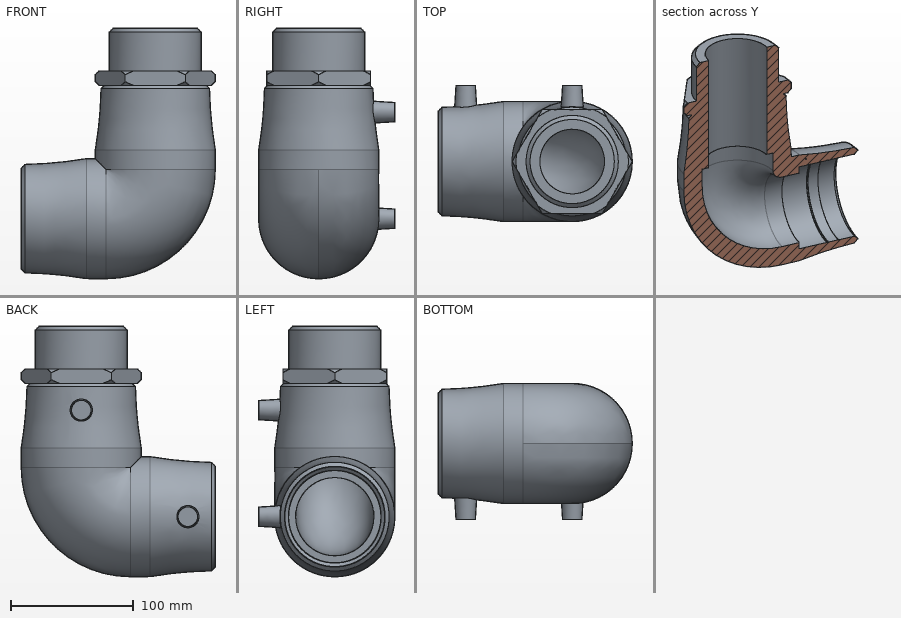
import cadquery as cq

body_radius = 49.0
bend_radius = 40.2
taper_start = 55.9
leg_end = 109.1
end_chamfer = 3.3
neck_radius = 44.3
taper_mid_radius = 45.7
rim_radius = 41.0

top_height = 155.0
stub_radius = 37.5
stub_chamfer = 3.3
hex_bottom = 108.3
hex_top = 120.4
hex_across_flats = 84.7
hex_corner_radius = 49.0
hex_chamfer = 3.3
adapter_bore_radius = 26.3

flow_radius = 31.8
mouth_radius = 40.5
mouth_chamfer = 3.0
entry_diameter = 75.3
entry_radius = entry_diameter / 2
entry_depth = 17.7
socket_radius = 37.5
groove_radius = 38.0
groove_depth = 26.7
groove_width = 1.2

pin_distance = 86.7
pin_tip_y = 62.0
pin_root_y = 42.5
pin_tip_radius = 8.0
pin_root_radius = 9.2

hex_corner_diameter = 2 * hex_across_flats / 3**0.5


def to_horizontal(leg):
    """Turn a solid built along +Z so that it lies along -X."""
    return leg.rotate((0, 0, 0), (0, 1, 0), -90)


def make_leg():
    """Straight collar, curved taper and chamfered end, along +Z."""
    neck_height = leg_end - end_chamfer
    profile = (
        cq.Workplane("XZ")
        .moveTo(0, bend_radius)
        .lineTo(body_radius, bend_radius)
        .lineTo(body_radius, taper_start)
        .threePointArc((taper_mid_radius, (taper_start + neck_height) / 2), (neck_radius, neck_height))
        .lineTo(rim_radius, leg_end)
        .lineTo(0, leg_end)
        .close()
    )
    return profile.revolve(360, (0, 0, 0), (0, 1, 0))


def make_bend(radius):
    """Quarter torus, with the part of the tube beyond the bend axis cut away."""
    section = cq.Workplane("XY", origin=(0, 0, bend_radius))
    if radius > bend_radius:
        half_chord = (radius**2 - bend_radius**2) ** 0.5
        arc_x = radius / 2
        arc_y = radius * 3**0.5 / 2
        section = (
            section.moveTo(-bend_radius, -half_chord)
            .threePointArc((arc_x, -arc_y), (radius, 0))
            .threePointArc((arc_x, arc_y), (-bend_radius, half_chord))
            .close()
        )
    else:
        section = section.circle(radius)
    return section.revolve(90, (-bend_radius, 0, 0), (-bend_radius, 1, 0))


def make_hex():
    """Hexagon with corners on the X axis, chamfered on both faces by a turned outline."""
    blank = (
        cq.Workplane("XY")
        .workplane(offset=hex_bottom)
        .polygon(6, hex_corner_diameter)
        .extrude(hex_top - hex_bottom)
    )
    turned = (
        cq.Workplane("XY")
        .workplane(offset=hex_bottom)
        .circle(hex_corner_radius)
        .extrude(hex_top - hex_bottom)
        .faces("<Z or >Z")
        .chamfer(hex_chamfer)
    )
    return blank.intersect(turned)


def make_stub():
    return (
        cq.Workplane("XY")
        .workplane(offset=hex_bottom)
        .circle(stub_radius)
        .extrude(top_height - hex_bottom)
        .faces(">Z")
        .chamfer(stub_chamfer)
    )


def make_socket():
    """Socket cavity along +Z: flat shoulder, ring groove, wider entry and mouth chamfer."""
    groove_top = leg_end - groove_depth
    groove_bottom = groove_top - groove_width
    entry_bottom = leg_end - entry_depth
    profile = (
        cq.Workplane("XZ")
        .moveTo(0, taper_start)
        .lineTo(socket_radius, taper_start)
        .lineTo(socket_radius, groove_bottom)
        .lineTo(groove_radius, groove_bottom)
        .lineTo(groove_radius, groove_top)
        .lineTo(socket_radius, groove_top)
        .lineTo(socket_radius, entry_bottom)
        .lineTo(entry_radius, entry_bottom)
        .lineTo(entry_radius, leg_end - mouth_chamfer)
        .lineTo(mouth_radius, leg_end)
        .lineTo(0, leg_end)
        .close()
    )
    return profile.revolve(360, (0, 0, 0), (0, 1, 0))


def make_pin(x, z):
    """Tapered pin pointing along +Y."""
    profile = (
        cq.Workplane("XY", origin=(x, 0, z))
        .moveTo(0, pin_root_y)
        .lineTo(pin_root_radius, pin_root_y)
        .lineTo(pin_tip_radius, pin_tip_y)
        .lineTo(0, pin_tip_y)
        .close()
    )
    return profile.revolve(360, (0, 0, 0), (0, 1, 0))


def make_passage(radius, start, end):
    return cq.Workplane("XY").workplane(offset=start).circle(radius).extrude(end - start)


body = make_leg().union(to_horizontal(make_leg())).union(make_bend(body_radius))
body = body.union(make_hex()).union(make_stub())
for pin_x, pin_z in [(-pin_distance, 0), (0, pin_distance)]:
    body = body.union(make_pin(pin_x, pin_z))

flow_leg = make_passage(flow_radius, bend_radius, taper_start)
body = body.cut(make_bend(flow_radius)).cut(flow_leg).cut(to_horizontal(flow_leg))
body = body.cut(make_passage(adapter_bore_radius, taper_start, top_height))
result = body.cut(to_horizontal(make_socket()))